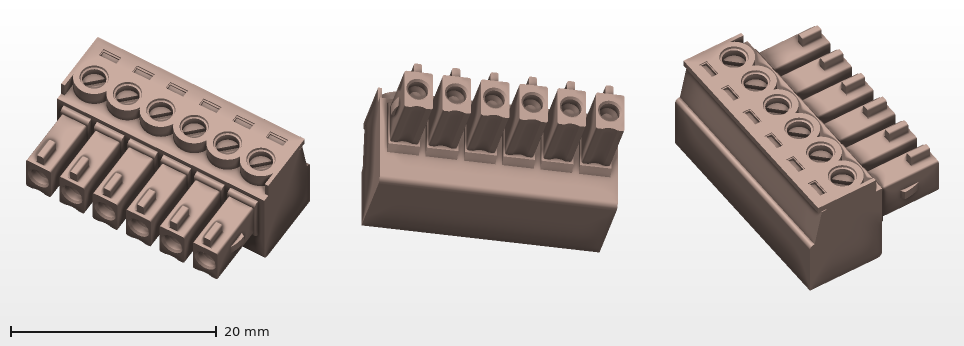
import cadquery as cq
import math


pole_count = 6
pole_pitch = 3.8

body_width = 23.65
body_depth = 8.42
body_height = 11.1
front_edge_radius = 0.6
side_wall_front = 0.73
step_height = 9.5
lip_back = 7.45
lip_bottom = 10.4
slit_height = 0.1
slit_front = 6.5
slope_top_back = 7.02
slope_bottom_back = 7.88
slope_bottom_height = 6.2
shoulder_radius = 0.43

screw_y = 3.1
turret_radius = 2.05
well_rim_radius = 1.42
well_ledge_radius = 1.35
well_rim_depth = 0.21
well_radius = 1.18
well_ledge_depth = 0.28
screw_head_depth = 1.05
screw_slot_width = 0.65
screw_slot_depth = 0.52
screw_slot_angle = 45.0

window_width = 2.03
window_front = 5.6
window_back = 6.48
window_rim_depth = 0.12
window_floor_width = 1.85
window_floor_front = 5.7
window_floor_back = 6.3
window_front_depth = 0.47
window_back_depth = 0.25

collar_width = 3.15
collar_length = 0.6
collar_top = 8.95
collar_bottom = 3.38
collar_bottom_chamfer = 0.65
collar_flat = 0.15
collar_flat_drop = 0.05
collar_round = 0.4

plug_length = 7.2
plug_width = 2.84
plug_bottom = 4.25
plug_top = 8.35
plug_edge_radius = 0.21
plug_groove_width = 1.51
plug_groove_rise = 0.2

socket_height = 6.36
socket_rim_radius = 1.2
socket_bore_radius = 1.0
socket_rim_depth = 0.21
socket_bore_depth = 1.02
socket_floor_radius = 0.6
socket_depth = 1.42

key_front = 6.85
key_back = 4.64
key_width = 0.8
key_top = step_height
key_round = 0.2

latch_back = 2.75
latch_crest = 2.98
latch_front = 4.8
latch_bulge = 0.4
latch_height = 1.0
latch_middle_height = 6.31

pole_span = pole_pitch * (pole_count - 1)
pole_positions = [-pole_span / 2 + index * pole_pitch for index in range(pole_count)]
recess_width = pole_pitch * pole_count
key_flare = key_width / 2 + key_round
eighth_turn = math.sqrt(0.5)
overlap = 0.24


def box(x_min, x_max, y_min, y_max, z_min, z_max):
    size = (x_max - x_min, y_max - y_min, z_max - z_min)
    return cq.Workplane("XY").box(*size, centered=False).translate((x_min, y_min, z_min))


def make_housing_block():
    """Side profile of the housing with its overhanging back lip, extruded along X."""
    profile = (
        cq.Workplane("YZ")
        .moveTo(0, front_edge_radius)
        .lineTo(0, step_height)
        .lineTo(side_wall_front, step_height)
        .lineTo(side_wall_front, body_height)
        .lineTo(lip_back, body_height)
        .lineTo(lip_back, lip_bottom)
        .lineTo(slit_front, lip_bottom)
        .lineTo(slit_front, lip_bottom - slit_height)
        .lineTo(slope_top_back, lip_bottom - slit_height)
        .lineTo(slope_bottom_back, slope_bottom_height)
        .lineTo(body_depth - shoulder_radius, slope_bottom_height)
        .radiusArc((body_depth, slope_bottom_height - shoulder_radius), shoulder_radius)
        .lineTo(body_depth, 0)
        .lineTo(front_edge_radius, 0)
        .radiusArc((0, front_edge_radius), front_edge_radius)
        .close()
    )
    return profile.extrude(body_width / 2, both=True)


def make_step_recess():
    """Space cleared in front of the screw turrets, between the two end walls."""
    recess = box(-recess_width / 2, recess_width / 2, -overlap, screw_y, step_height, body_height + overlap)
    turret = (
        cq.Workplane("XY", origin=(0, screw_y, step_height - overlap))
        .circle(turret_radius)
        .extrude(body_height - step_height + 3 * overlap)
    )
    for x in pole_positions:
        recess = recess.cut(turret.translate((x, 0, 0)))
    return recess


def make_screw_well():
    """Well with a bevelled rim and sloping ledge above a screw head with its driver slot."""
    head_height = body_height - screw_head_depth
    well = (
        cq.Workplane("XZ")
        .moveTo(0, body_height)
        .lineTo(well_rim_radius, body_height)
        .lineTo(well_ledge_radius, body_height - well_rim_depth)
        .lineTo(well_radius, body_height - well_ledge_depth)
        .lineTo(well_radius, head_height)
        .lineTo(0, head_height)
        .close()
        .revolve(360, (0, 0, 0), (0, 1, 0))
    )
    slot = (
        cq.Workplane("XY")
        .rect(2 * well_radius, screw_slot_width)
        .extrude(screw_slot_depth + overlap)
        .rotate((0, 0, 0), (0, 0, 1), screw_slot_angle)
        .translate((0, 0, head_height - screw_slot_depth))
    )
    shaft = cq.Workplane("XY").circle(well_radius).extrude(body_height)
    return well.union(slot.intersect(shaft)).translate((0, screw_y, 0))


def make_test_window():
    """Shallow rim around a deeper opening whose floor slopes down toward the front."""
    rim = box(
        -window_width / 2, window_width / 2, window_front, window_back,
        body_height - window_rim_depth, body_height,
    )
    opening = (
        cq.Workplane("YZ")
        .moveTo(window_floor_front, body_height)
        .lineTo(window_floor_back, body_height)
        .lineTo(window_floor_back, body_height - window_back_depth)
        .lineTo(window_floor_front, body_height - window_front_depth)
        .close()
        .extrude(window_floor_width / 2, both=True)
    )
    return rim.union(opening)


def make_collar():
    """Plug root: rounded along its top front edge and bevelled underneath."""
    shoulder_z = collar_top - collar_flat_drop
    arc_middle = (
        -collar_flat - (collar_length - collar_flat) * eighth_turn,
        shoulder_z - collar_round * (1 - eighth_turn),
    )
    return (
        cq.Workplane("YZ")
        .moveTo(overlap, collar_bottom)
        .lineTo(overlap, collar_top)
        .lineTo(0, collar_top)
        .lineTo(-collar_flat, shoulder_z)
        .threePointArc(arc_middle, (-collar_length, shoulder_z - collar_round))
        .lineTo(-collar_length, collar_bottom + collar_bottom_chamfer)
        .lineTo(0, collar_bottom)
        .close()
        .extrude(collar_width / 2, both=True)
    )


def make_plug_shell():
    """Rounded plug bar with a shallow arched groove along its underside."""
    bar = box(-plug_width / 2, plug_width / 2, -plug_length, 0, plug_bottom, plug_top)
    bar = bar.edges("|Y").fillet(plug_edge_radius)
    groove = (
        cq.Workplane("XZ")
        .moveTo(-plug_groove_width / 2, plug_bottom)
        .threePointArc((0, plug_bottom + plug_groove_rise), (plug_groove_width / 2, plug_bottom))
        .close()
        .extrude(plug_length)
    )
    return bar.cut(groove)


def make_socket():
    """Bevelled mouth and straight bore, then a taper that narrows to a flat floor."""
    return (
        cq.Workplane("XY")
        .moveTo(0, -plug_length)
        .lineTo(socket_rim_radius, -plug_length)
        .lineTo(socket_bore_radius, -plug_length + socket_rim_depth)
        .lineTo(socket_bore_radius, -plug_length + socket_bore_depth)
        .lineTo(socket_floor_radius, -plug_length + socket_depth)
        .lineTo(0, -plug_length + socket_depth)
        .close()
        .revolve(360, (0, 0, 0), (0, 1, 0))
        .translate((0, 0, socket_height))
    )


def make_key():
    """Upright rib with a rounded top and concave flares where it meets the plug."""
    half_width = key_width / 2
    flare_top = plug_top + key_round
    round_bottom = key_top - key_round
    return (
        cq.Workplane("XZ", origin=(0, -key_back, 0))
        .moveTo(-key_flare, plug_top - overlap)
        .lineTo(-key_flare, plug_top)
        .radiusArc((-half_width, flare_top), -key_round)
        .lineTo(-half_width, round_bottom)
        .radiusArc((-half_width + key_round, key_top), key_round)
        .lineTo(half_width - key_round, key_top)
        .radiusArc((half_width, round_bottom), key_round)
        .lineTo(half_width, flare_top)
        .radiusArc((key_flare, plug_top), -key_round)
        .lineTo(key_flare, plug_top - overlap)
        .close()
        .extrude(key_front - key_back)
    )


def make_latch():
    """Ramped nose standing out from the right-hand flank of the last plug."""
    flank = pole_positions[-1] + plug_width / 2
    crest = flank + latch_bulge
    ramp_length = latch_front - latch_crest
    ramp_radius = (ramp_length**2 + latch_bulge**2) / (2 * latch_bulge)
    return (
        cq.Workplane("XY", origin=(0, 0, latch_middle_height))
        .moveTo(flank - overlap, -latch_back)
        .lineTo(flank, -latch_back)
        .lineTo(crest, -latch_crest)
        .radiusArc((flank, -latch_front), ramp_radius)
        .lineTo(flank - overlap, -latch_front)
        .close()
        .extrude(latch_height / 2, both=True)
    )


plug = make_plug_shell().union(make_collar()).union(make_key()).cut(make_socket())
pole_cuts = make_screw_well().union(make_test_window())
latch = make_latch()

result = make_housing_block().cut(make_step_recess())
for x in pole_positions:
    result = result.cut(pole_cuts.translate((x, 0, 0)))
    result = result.union(plug.translate((x, 0, 0)))
result = result.union(latch).union(latch.mirror("YZ"))